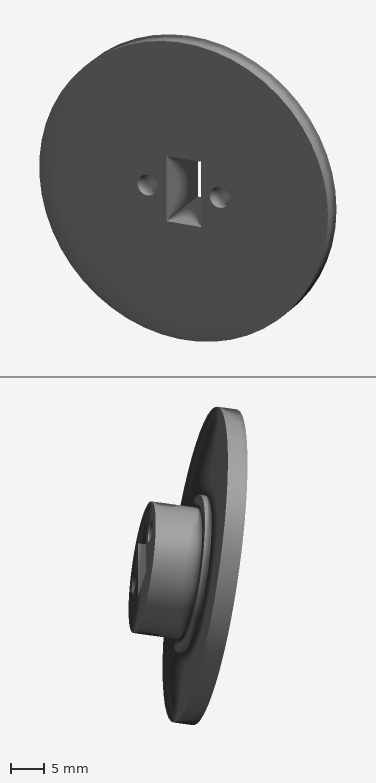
import cadquery as cq

flange_diameter = 48.0
flange_thickness = 3.0

hub_drop = 2.0
shoulder_diameter = flange_diameter / 2
shoulder_height = 1.0
hub_diameter = 20.0
overall_depth = 11.2
hub_height = overall_depth - flange_thickness - shoulder_height

window_width = 5.7
window_height = 10.55
screw_hole_diameter = 3.3
screw_hole_spacing = shoulder_diameter / 2


def disc(diameter, start, thickness, drop=0):
    """Disc along the Y axis, reaching from start toward +Y, lowered by drop."""
    return cq.Workplane("XZ", origin=(0, start, -drop)).circle(diameter / 2).extrude(-thickness)


flange = disc(flange_diameter, 0, flange_thickness)
shoulder = disc(shoulder_diameter, flange_thickness, shoulder_height, hub_drop)
hub = disc(hub_diameter, flange_thickness + shoulder_height, hub_height, hub_drop)
body = flange.union(shoulder).union(hub)

window = cq.Workplane("XZ").rect(window_width, window_height).extrude(-overall_depth)
screw_holes = (
    cq.Workplane("XZ")
    .pushPoints([(-screw_hole_spacing / 2, 0), (screw_hole_spacing / 2, 0)])
    .circle(screw_hole_diameter / 2)
    .extrude(-overall_depth)
)

result = body.cut(window).cut(screw_holes)